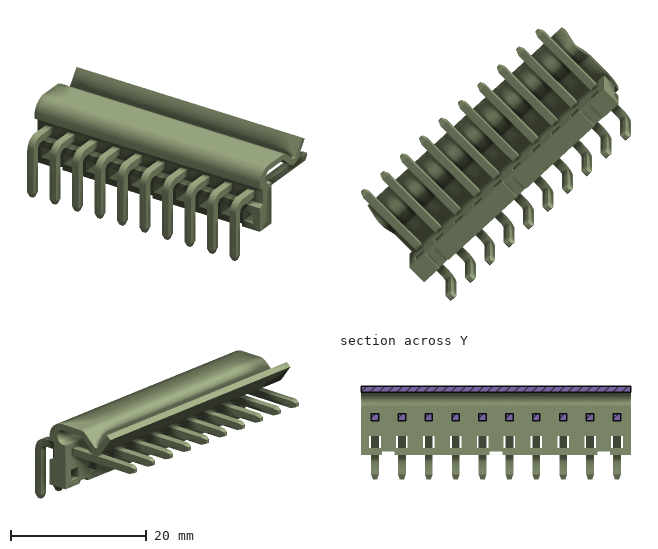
import math

import cadquery as cq


pin_count = 10
pitch = 3.96
housing_length = 39.71
overall_depth = 19.4
pin_x_positions = [(index - (pin_count - 1) / 2) * pitch for index in range(pin_count)]

wall_depth = 3.15
wall_height = 6.92
recess_depth = 0.87
recess_bottom = 3.93
recess_top = 7.15
recess_slope_rise = 0.33

flat_top = 10.15
flat_thickness = 0.95
flat_underside = flat_top - flat_thickness
root_outer_radius = 2.52
root_inner_radius = (flat_underside - wall_height) / 2
root_inner_center_y = 2.65
ramp_thickness = 0.95
crest_y = 6.1
crest_outer_radius = 1.6
crest_inner_radius = crest_outer_radius - ramp_thickness
crest_center = (crest_y, flat_top - crest_outer_radius)
valley_inner_radius = 0.49
valley_outer_radius = valley_inner_radius + ramp_thickness
valley_center = (9.17, 8.59)
lip_angle = math.radians(54)
lip_top = 10.69

pin_size = 1.14
pin_center_z = 5.55
pin_front_y = -4.15
pin_back_y = pin_front_y + overall_depth
pin_bottom_z = -3.66
bend_outer_radius = 2.0
bend_inner_radius = bend_outer_radius - pin_size
tip_length = 0.75
tip_size = 0.6

window_size = 1.7
window_center_z = 1.89
notch_width = 1.85
notch_height = 0.46
notch_gaps = (0, 4, 8)

up = math.pi / 2
down = -up
front = math.pi
upper_front = (up + front) / 2


def on_circle(center, radius, angle):
    """Point on a circle in the YZ plane, at an angle measured from +Y."""
    return (center[0] + radius * math.cos(angle), center[1] + radius * math.sin(angle))


def extrude_across(profile, width):
    """Extrude a closed YZ outline equally to both sides of X = 0."""
    return profile.extrude(width / 2, both=True)


def make_housing():
    center_dy = valley_center[0] - crest_center[0]
    center_dz = valley_center[1] - crest_center[1]
    web_reach = crest_outer_radius + valley_inner_radius
    web_angle = math.asin(web_reach / math.hypot(center_dy, center_dz)) - math.atan2(center_dz, center_dy)
    crest_end = up - web_angle
    valley_start = down - web_angle
    valley_end = down + lip_angle

    valley_upper_end = on_circle(valley_center, valley_inner_radius, valley_end)
    lip_length = (lip_top - valley_upper_end[1]) / math.sin(lip_angle)
    lip_upper_corner = on_circle(valley_upper_end, lip_length, lip_angle)
    lip_lower_corner = on_circle(lip_upper_corner, ramp_thickness, valley_end)

    root_outer_center = (root_outer_radius, flat_top - root_outer_radius)
    root_inner_center = (root_inner_center_y, wall_height + root_inner_radius)

    profile = (
        cq.Workplane("YZ")
        .moveTo(0, 0)
        .lineTo(0, recess_bottom)
        .lineTo(recess_depth, recess_bottom + recess_slope_rise)
        .lineTo(recess_depth, recess_top - recess_slope_rise)
        .lineTo(0, recess_top)
        .lineTo(0, root_outer_center[1])
        .threePointArc(
            on_circle(root_outer_center, root_outer_radius, upper_front),
            on_circle(root_outer_center, root_outer_radius, up),
        )
        .lineTo(crest_y, flat_top)
        .threePointArc(
            on_circle(crest_center, crest_outer_radius, (up + crest_end) / 2),
            on_circle(crest_center, crest_outer_radius, crest_end),
        )
        .lineTo(*on_circle(valley_center, valley_inner_radius, valley_start))
        .threePointArc(on_circle(valley_center, valley_inner_radius, down), valley_upper_end)
        .lineTo(*lip_upper_corner)
        .lineTo(*lip_lower_corner)
        .lineTo(*on_circle(valley_center, valley_outer_radius, valley_end))
        .threePointArc(
            on_circle(valley_center, valley_outer_radius, down),
            on_circle(valley_center, valley_outer_radius, valley_start),
        )
        .lineTo(*on_circle(crest_center, crest_inner_radius, crest_end))
        .threePointArc(
            on_circle(crest_center, crest_inner_radius, (up + crest_end) / 2),
            on_circle(crest_center, crest_inner_radius, up),
        )
        .lineTo(root_inner_center_y, flat_underside)
        .threePointArc(
            on_circle(root_inner_center, root_inner_radius, front),
            on_circle(root_inner_center, root_inner_radius, down),
        )
        .lineTo(wall_depth, wall_height)
        .lineTo(wall_depth, 0)
        .close()
    )
    return extrude_across(profile, housing_length)


def make_window(x):
    window = cq.Workplane("XY").box(window_size, wall_depth, window_size)
    return window.translate((x, wall_depth / 2, window_center_z))


def make_notch(gap):
    x = pin_x_positions[gap] + pitch / 2
    notch = cq.Workplane("XY").box(notch_width, wall_depth, notch_height)
    return notch.translate((x, wall_depth / 2, notch_height / 2))


def make_tip(base_plane):
    """Tapered pin end growing along the normal of its base plane."""
    return (
        cq.Workplane(base_plane)
        .rect(pin_size, pin_size)
        .workplane(offset=tip_length)
        .rect(tip_size, tip_size)
        .loft(combine=True)
    )


def make_pin():
    top = pin_center_z + pin_size / 2
    underside = top - pin_size
    tail_back_y = pin_front_y + pin_size
    bend_center = (pin_front_y + bend_outer_radius, top - bend_outer_radius)
    shank_back = pin_back_y - tip_length
    tail_bottom = pin_bottom_z + tip_length

    profile = (
        cq.Workplane("YZ")
        .moveTo(shank_back, top)
        .lineTo(bend_center[0], top)
        .threePointArc(
            on_circle(bend_center, bend_outer_radius, upper_front),
            (pin_front_y, bend_center[1]),
        )
        .lineTo(pin_front_y, tail_bottom)
        .lineTo(tail_back_y, tail_bottom)
        .lineTo(tail_back_y, bend_center[1])
        .threePointArc(
            on_circle(bend_center, bend_inner_radius, upper_front),
            (bend_center[0], underside),
        )
        .lineTo(shank_back, underside)
        .close()
    )
    tail_center_y = pin_front_y + pin_size / 2
    mating_end = cq.Plane(origin=(0, shank_back, pin_center_z), xDir=(1, 0, 0), normal=(0, 1, 0))
    solder_end = cq.Plane(origin=(0, tail_center_y, tail_bottom), xDir=(1, 0, 0), normal=(0, 0, -1))
    bent_bar = extrude_across(profile, pin_size)
    return bent_bar.union(make_tip(mating_end)).union(make_tip(solder_end))


result = make_housing()
for gap in notch_gaps:
    result = result.cut(make_notch(gap))
for x in pin_x_positions:
    result = result.cut(make_window(x))
pin = make_pin()
for x in pin_x_positions:
    result = result.union(pin.translate((x, 0, 0)))